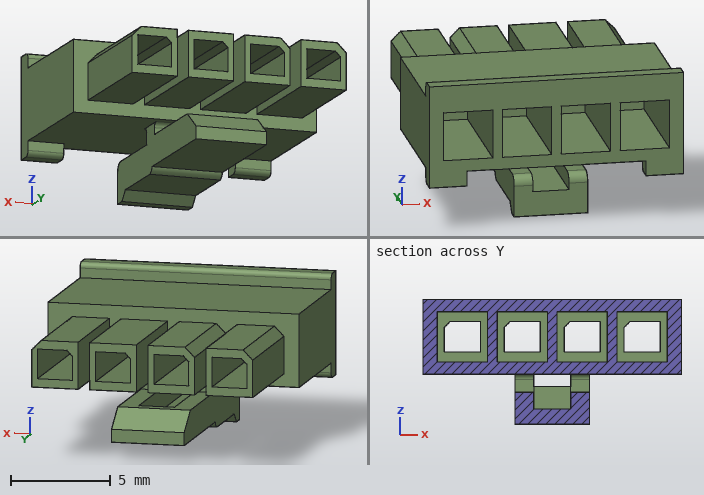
import cadquery as cq


contact_count = 4
contact_pitch = 3.01

housing_width = 13.0
body_height = 3.76
total_length = 14.2
tail_length = 6.5
body_length = total_length - tail_length
flange_thickness = 1.01
flange_lip = 0.78
flange_edge_radius = 0.28
flange_foot_width = 1.92
contact_axis_z = body_height / 2

tail_size = 2.41
tail_key_chamfer = 0.5
tail_key_edges = {0: "<X", 1: "<X", 3: ">X"}

cavity_size = 2.51
cavity_end_wall = 1.01
cavity_depth = body_length - cavity_end_wall
passage_width = 1.8
passage_height = 1.52
passage_key_chamfer = 0.28

latch_width = 3.76
latch_front_y = 1.46
latch_tip_y = 13.02
latch_nose_radius = 0.5
front_arm_top_z = -0.9
front_arm_bottom_z = -2.51
rear_arm_top_z = -0.61
rear_arm_bottom_z = -2.19
arm_step_front_y = 6.23
arm_step_height = rear_arm_bottom_z - front_arm_bottom_z
arm_step_radius = 0.5
arm_step_rear_y = arm_step_front_y + arm_step_height
hook_bottom_z = -3.01
hook_length = 0.67
hook_drop = front_arm_bottom_z - hook_bottom_z
hook_rear_y = latch_front_y + hook_length
tip_slope_length = 1.29
tip_top_z = -1.52
post_front_y = 5.72
post_rear_y = 6.9
post_root_radius = 0.25

slot_width = 1.85
slot_floor_z = -1.73
slot_end_y = 11.18


def box(width, y_range, z_range, center_x=0.0):
    """Box centred on center_x, spanning the given Y and Z ranges."""
    y_start, y_end = y_range
    z_start, z_end = z_range
    return (
        cq.Workplane("XY")
        .box(width, y_end - y_start, z_end - z_start, centered=(True, False, False))
        .translate((center_x, y_start, z_start))
    )


def contact_box(width, height, y_range, center_x):
    """Box centred on the axis of one contact."""
    z_range = (contact_axis_z - height / 2, contact_axis_z + height / 2)
    return box(width, y_range, z_range, center_x)


def make_housing():
    body = box(housing_width, (0, body_length), (0, body_height))
    flange = box(housing_width, (0, flange_thickness), (-flange_lip, body_height + flange_lip))
    flange = flange.faces(">Y").edges("|X").fillet(flange_edge_radius)
    foot_gap = box(housing_width - 2 * flange_foot_width, (0, flange_thickness), (-flange_lip, 0))
    return body.union(flange.cut(foot_gap))


def make_tail(index, center_x):
    tail = contact_box(tail_size, tail_size, (body_length, total_length), center_x)
    if index in tail_key_edges:
        tail = tail.faces(">Z").edges(tail_key_edges[index]).chamfer(tail_key_chamfer)
    return tail


def make_contact_opening(center_x):
    cavity = contact_box(cavity_size, cavity_size, (0, cavity_depth), center_x)
    passage = contact_box(passage_width, passage_height, (0, total_length), center_x)
    passage = passage.faces(">Z").edges("<X").chamfer(passage_key_chamfer)
    return cavity.union(passage)


def make_latch():
    profile = (
        cq.Workplane("YZ")
        .moveTo(post_front_y - post_root_radius, 0)
        .radiusArc((post_front_y, -post_root_radius), post_root_radius)
        .lineTo(post_front_y, front_arm_top_z)
        .lineTo(latch_front_y + latch_nose_radius, front_arm_top_z)
        .radiusArc((latch_front_y, front_arm_top_z - latch_nose_radius), -latch_nose_radius)
        .lineTo(latch_front_y, hook_bottom_z)
        .lineTo(hook_rear_y, hook_bottom_z)
        .lineTo(hook_rear_y + hook_drop, front_arm_bottom_z)
        .lineTo(arm_step_front_y, front_arm_bottom_z)
        .radiusArc((arm_step_rear_y, rear_arm_bottom_z), -arm_step_radius)
        .lineTo(latch_tip_y, rear_arm_bottom_z)
        .lineTo(latch_tip_y, tip_top_z)
        .lineTo(latch_tip_y - tip_slope_length, rear_arm_top_z)
        .lineTo(post_rear_y, rear_arm_top_z)
        .lineTo(post_rear_y, -post_root_radius)
        .radiusArc((post_rear_y + post_root_radius, 0), post_root_radius)
        .close()
    )
    lever = profile.extrude(latch_width / 2, both=True)
    slot = box(slot_width, (latch_front_y, slot_end_y), (slot_floor_z, 0))
    return lever.cut(slot)


part = make_housing().union(make_latch())
for contact in range(contact_count):
    contact_x = (contact - (contact_count - 1) / 2) * contact_pitch
    part = part.union(make_tail(contact, contact_x))
    part = part.cut(make_contact_opening(contact_x))

result = part